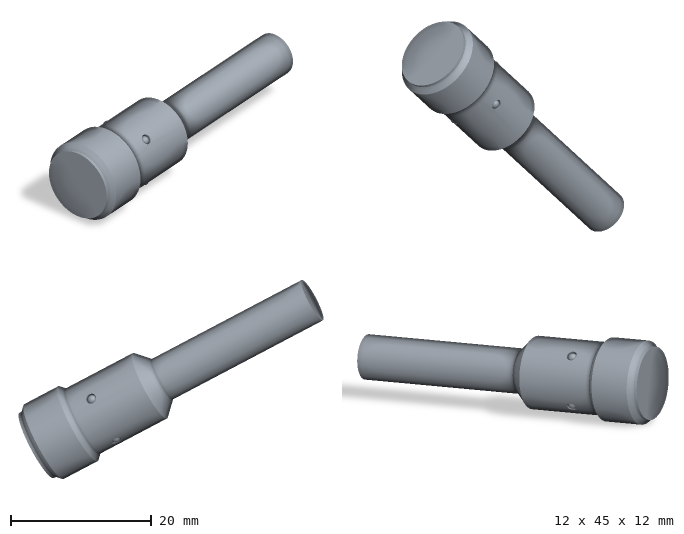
import cadquery as cq

total_length = 45.0
head_diameter = 12.0
body_diameter = 10.5
stem_diameter = 6.5

lip_length = 0.45
head_end = 7.5
body_end = 18.5

hole_diameter = 1.5
ball_diameter = 1.3
ball_protrusion = 0.15
hole_position = 11.0
hole_count = 4
first_hole_angle = 45.0

head_radius = head_diameter / 2
body_radius = body_diameter / 2
stem_radius = stem_diameter / 2
head_chamfer = head_radius - body_radius
shoulder_length = body_radius - stem_radius
ball_centre_radius = body_radius + ball_protrusion - ball_diameter / 2
front_face = -total_length / 2


def make_turned_body():
    """Revolve the half profile, given as (radius, distance from the head face)."""
    profile = [
        (0, 0),
        (body_radius, 0),
        (body_radius, lip_length),
        (head_radius, lip_length + head_chamfer),
        (head_radius, head_end - head_chamfer),
        (body_radius, head_end),
        (body_radius, body_end),
        (stem_radius, body_end + shoulder_length),
        (stem_radius, total_length),
        (0, total_length),
    ]
    turned = cq.Workplane("XY").polyline(profile).close().revolve(360, (0, 0), (0, 1))
    return turned.translate((0, front_face, 0))


def place_radially(shape, angle):
    """Move a shape built along Z to the hole position and turn it about the Y axis."""
    moved = shape.translate((0, front_face + hole_position, 0))
    return moved.rotate((0, 0, 0), (0, 1, 0), angle)


def make_ball_hole():
    """Flat-bottomed hole whose floor passes through the centre of its ball."""
    drill = cq.Workplane("XY").workplane(offset=ball_centre_radius)
    return drill.circle(hole_diameter / 2).extrude(ball_diameter)


def make_ball():
    """Locking ball half sunk into the hole floor."""
    return cq.Workplane("XY").sphere(ball_diameter / 2).translate((0, 0, ball_centre_radius))


result = make_turned_body()
for index in range(hole_count):
    hole_angle = first_hole_angle + index * 360 / hole_count
    result = result.cut(place_radially(make_ball_hole(), hole_angle))
    result = result.union(place_radially(make_ball(), hole_angle))